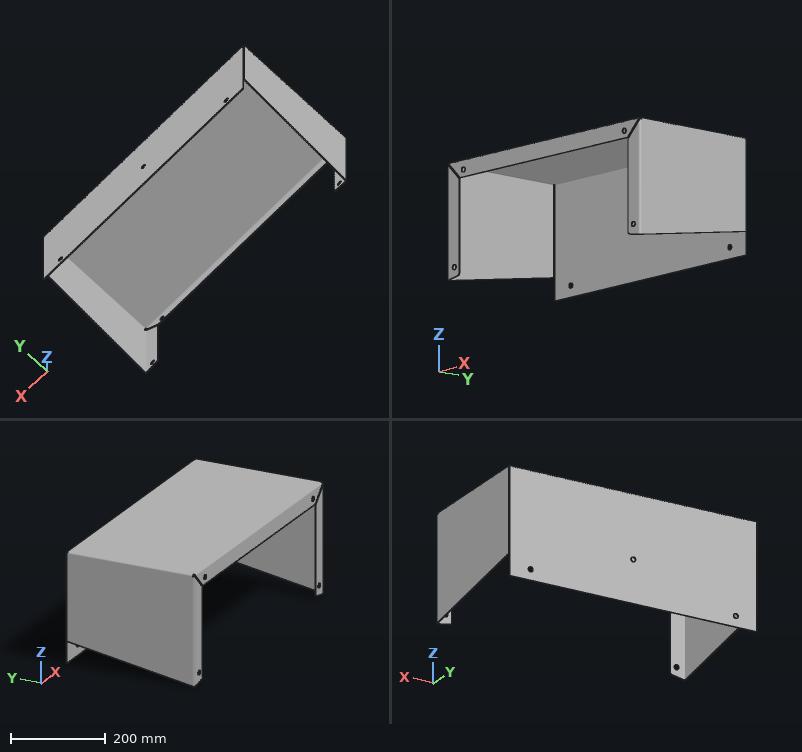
import cadquery as cq
width = 609.6
depth = 304.8
height = 254.0

sheet = 2.3
bend_inner = 2.4
bend_outer = bend_inner + sheet

back_rise = 51.0
slope_start = sheet
slope = back_rise / (depth - slope_start)

seam_gap = 0.3

flange_width = 38.1
flange_corner_radius = 6.35
miter_gap = 3.8

hole_diameter = 11.1
low_hole_height = 25.4
flange_hole_inset = 22.2
top_hole_x = 254.0
back_low_hole_x = 250.8
center_hole_height = 101.6

half_width = width / 2
half_depth = depth / 2
front_y = -half_depth
back_y = half_depth
bend_line_x = half_width - bend_outer
bend_line_z = height - bend_outer


def block(x_range, y_range, z_range):
    """Axis-aligned box between the given limits."""
    (x0, x1), (y0, y1), (z0, z1) = x_range, y_range, z_range
    return cq.Workplane("XY").box(x1 - x0, y1 - y0, z1 - z0, centered=False).translate((x0, y0, z0))


def bend(plane, center, toward, length):
    """Quarter-tube bend of the given length about center, lying in the quadrant 'toward'."""
    u, v = center
    du, dv = toward
    diagonal = 0.5 ** 0.5
    return (
        cq.Workplane(plane)
        .moveTo(u + du * bend_inner, v)
        .lineTo(u + du * bend_outer, v)
        .threePointArc(
            (u + du * bend_outer * diagonal, v + dv * bend_outer * diagonal),
            (u, v + dv * bend_outer),
        )
        .lineTo(u, v + dv * bend_inner)
        .threePointArc(
            (u + du * bend_inner * diagonal, v + dv * bend_inner * diagonal),
            (u + du * bend_inner, v),
        )
        .close()
        .extrude(length)
    )


def back_miter_wedge(side):
    """Vertical prism on the side-panel half of the 45-degree miter at a back corner."""
    inner_x = side * bend_line_x
    outer_x = side * half_width
    return (
        cq.Workplane("XY")
        .polyline([
            (inner_x, front_y),
            (outer_x, front_y),
            (outer_x, back_y),
            (inner_x, back_y - bend_outer),
        ])
        .close()
        .extrude(height)
    )


def make_top():
    """Top sheet with its four edge bends: open corners at the front, mitred ones at the back."""
    flat_front = front_y + bend_outer
    flat_back = back_y - bend_outer
    top = block((-bend_line_x, bend_line_x), (flat_front, flat_back), (height - sheet, height))
    front_bend = bend("YZ", (flat_front, bend_line_z), (-1, 1), 2 * bend_line_x)
    top = top.union(front_bend.translate((-bend_line_x, 0, 0)))
    back_bend = bend("YZ", (flat_back, bend_line_z), (1, 1), width).translate((-half_width, 0, 0))
    for side in (-1, 1):
        wedge = back_miter_wedge(side)
        side_bend = bend("XZ", (side * bend_line_x, bend_line_z), (side, 1), depth - bend_outer)
        top = top.union(side_bend.translate((0, back_y, 0)).intersect(wedge))
        back_bend = back_bend.cut(wedge)
    return top.union(back_bend)


def make_back():
    """Flat back panel below the top bend."""
    return block((-half_width, half_width), (back_y - sheet, back_y), (0, bend_line_z))


def back_corner_notch(side):
    """Full-height relief that opens the seam between the back panel and one side."""
    inner_x = half_width - sheet - seam_gap
    return block(sorted((side * inner_x, side * half_width)), (back_y - sheet, back_y), (0, height))


def make_right_side():
    """Side panel with its sloping bottom, front bend and mitred front flange."""
    panel = block(
        (half_width - sheet, half_width),
        (front_y + bend_outer, back_y - sheet),
        (0, bend_line_z),
    )
    front_bend = bend("XY", (bend_line_x, front_y + bend_outer), (1, -1), bend_line_z)
    below_slope = (
        cq.Workplane("YZ")
        .polyline([(front_y + slope_start, 0), (back_y, 0), (back_y, back_rise)])
        .close()
        .extrude(width)
    )
    return panel.union(front_bend).cut(below_slope).union(make_side_flange())


def make_side_flange():
    """Front flange of the right side: mitred at the top, sloping at the bottom."""
    inner_x = half_width - flange_width
    inner_low_z = slope * (flange_width - slope_start)
    flange = (
        cq.Workplane("XZ", origin=(0, front_y + sheet, 0))
        .polyline([
            (bend_line_x, slope * (bend_outer - slope_start)),
            (bend_line_x, bend_line_z - miter_gap / 2),
            (inner_x, height - flange_width - miter_gap / 2),
            (inner_x, inner_low_z),
        ])
        .close()
        .extrude(sheet)
    )
    corner_point = (inner_x, front_y + sheet / 2, inner_low_z)
    lower_inner_corner = cq.selectors.NearestToPointSelector(corner_point)
    return flange.edges("|Y").edges(lower_inner_corner).fillet(flange_corner_radius)


def make_top_flange():
    """Front flange hanging from the top, mitred at both ends."""
    top_x = bend_line_x - miter_gap / 2
    bottom_x = half_width - flange_width - miter_gap / 2
    bottom_z = height - flange_width
    return (
        cq.Workplane("XZ", origin=(0, front_y + sheet, 0))
        .polyline([(-top_x, bend_line_z), (top_x, bend_line_z), (bottom_x, bottom_z), (-bottom_x, bottom_z)])
        .close()
        .extrude(sheet)
    )


def holes_along_y(points, start_y):
    """Hole cutters through the sheet whose front face lies at start_y."""
    return (
        cq.Workplane("XZ", origin=(0, start_y + sheet, 0))
        .pushPoints(points)
        .circle(hole_diameter / 2)
        .extrude(sheet)
    )


right_side = make_right_side()
left_side = right_side.mirror("YZ")
enclosure = make_top().union(make_back()).union(make_top_flange()).union(right_side).union(left_side)
for side in (-1, 1):
    enclosure = enclosure.cut(back_corner_notch(side))

front_holes = []
back_holes = [(0, center_hole_height)]
for side in (-1, 1):
    front_holes.append((side * top_hole_x, height - flange_hole_inset))
    front_holes.append((side * (half_width - flange_hole_inset), low_hole_height))
    back_holes.append((side * back_low_hole_x, low_hole_height))

result = enclosure.cut(holes_along_y(front_holes, front_y)).cut(holes_along_y(back_holes, back_y - sheet))